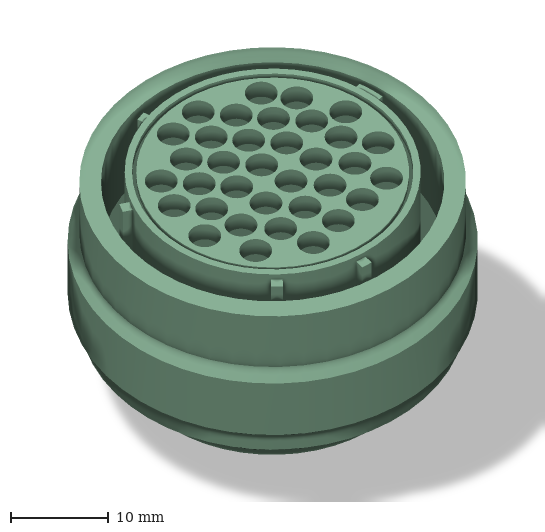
import cadquery as cq

total_height = 26.47
spigot_top = 1.27
collar_top = 1.93
sleeve_bottom = 6.0
sleeve_top = 25.0
well_floor = 14.85
key_top = 25.75

spigot_radius = 13.97
collar_radius = 15.68
sleeve_radius = 19.8
band_radius = 21.0
well_radius = 17.58
plug_radius = 15.15

band_bottom = 9.24
band_top = 16.58
band_bevel = band_radius - sleeve_radius

rim_inner_radius = 14.4
insert_radius = spigot_radius
insert_recess = 0.15
insert_gap_depth = 0.6

contact_diameter = 3.36
contact_depth = 2.15
row_pitch = 4.125
row_offset = 0.19
half_rows = [row_offset + row_pitch * n for n in (-0.5, 0.5)]
full_rows = [row_offset + row_pitch * n for n in (-2, -1, 0, 1, 2)]
six_rows = [-10.07, -5.95, -1.93, 2.2, 6.3, 10.14]
contact_columns = [
    (-11.5, half_rows),
    (-8.17, full_rows),
    (-4.88, six_rows),
    (-1.58, full_rows),
    (0.32, [-11.6, 11.65]),
    (2.25, full_rows),
    (5.76, six_rows),
    (9.66, [-5.48, -1.36, 2.6, 6.59]),
]

main_key_width = 2.98
main_key_angle = 90
main_key_radius = 16.3
small_key_width = 1.2
small_key_radius = 16.2
small_key_angles = [185, 235, -50, -15]

thread_radius = 16.55
thread_pitch = 1.41
groove_depth = 0.72
groove_half_width = 0.41
groove_start_angle = -90
groove_start = 1.68
groove_overshoot = 0.1
groove_runout = thread_pitch


def cylinder(radius, bottom, top):
    return cq.Workplane("XY").workplane(offset=bottom).circle(radius).extrude(top - bottom)


def make_sleeve():
    """Outer sleeve with its bevelled grip band and the annular well at the top."""
    profile = [
        (0, sleeve_bottom),
        (sleeve_radius, sleeve_bottom),
        (sleeve_radius, band_bottom - band_bevel),
        (band_radius, band_bottom),
        (band_radius, band_top),
        (sleeve_radius, band_top + band_bevel),
        (sleeve_radius, sleeve_top),
        (well_radius, sleeve_top),
        (well_radius, well_floor),
        (0, well_floor),
    ]
    return cq.Workplane("XZ").polyline(profile).close().revolve(360, (0, 0), (0, 1))


def make_plug():
    """Central plug: a rim around a slightly lower insert, with a narrow gap between them."""
    rim = cylinder(plug_radius, well_floor, total_height)
    insert_top = total_height - insert_recess
    gap_bottom = insert_top - insert_gap_depth
    recess = cylinder(rim_inner_radius, gap_bottom, total_height)
    insert = cylinder(insert_radius, gap_bottom, insert_top)
    return rim.cut(recess).union(insert)


def make_key(width, outer_radius, angle):
    """Upright key on the plug wall, with its outer face rounded about the connector axis."""
    key = cq.Workplane("XY").workplane(offset=well_floor)
    key = key.center(outer_radius / 2, 0).rect(outer_radius, width).extrude(key_top - well_floor)
    key = key.intersect(cylinder(outer_radius, well_floor, key_top))
    key = key.cut(cylinder(rim_inner_radius, well_floor, key_top))
    return key.rotate((0, 0, 0), (0, 0, 1), angle)


def make_thread_groove():
    """Helical V groove, started on the -Y side to keep clear of the cylinder seam on +X."""
    root_radius = thread_radius - groove_depth
    mouth_radius = thread_radius + groove_overshoot
    mouth_half_width = groove_half_width * (groove_depth + groove_overshoot) / groove_depth
    groove_height = sleeve_bottom - groove_start + groove_runout
    helix = cq.Wire.makeHelix(thread_pitch, groove_height, root_radius, cq.Vector(0, 0, groove_start))
    groove = (
        cq.Workplane("XZ")
        .moveTo(root_radius, groove_start)
        .lineTo(mouth_radius, groove_start - mouth_half_width)
        .lineTo(mouth_radius, groove_start + mouth_half_width)
        .close()
        .sweep(cq.Workplane(obj=helix), isFrenet=True)
    )
    return groove.rotate((0, 0, 0), (0, 0, 1), groove_start_angle)


def make_thread():
    """Threaded neck with a 45 degree lead-in above the collar."""
    neck = cylinder(thread_radius, collar_top, sleeve_bottom)
    neck = neck.faces("<Z").chamfer(thread_radius - collar_radius)
    threaded_bar = cylinder(thread_radius, 0, sleeve_bottom + 2 * groove_runout)
    threaded_bar = threaded_bar.cut(make_thread_groove())
    return neck.intersect(threaded_bar)


def make_contact_holes():
    """Blind contact holes sunk into the insert face."""
    points = [(x, y) for x, rows in contact_columns for y in rows]
    face = total_height - insert_recess
    plane = cq.Workplane("XY").workplane(offset=face - contact_depth)
    return plane.pushPoints(points).circle(contact_diameter / 2).extrude(contact_depth)


body = make_sleeve().union(make_plug())
body = body.union(make_key(main_key_width, main_key_radius, main_key_angle))
for key_angle in small_key_angles:
    body = body.union(make_key(small_key_width, small_key_radius, key_angle))
body = body.cut(make_contact_holes())
body = body.union(make_thread())
body = body.union(cylinder(collar_radius, spigot_top, collar_top))
result = body.union(cylinder(spigot_radius, 0, spigot_top))